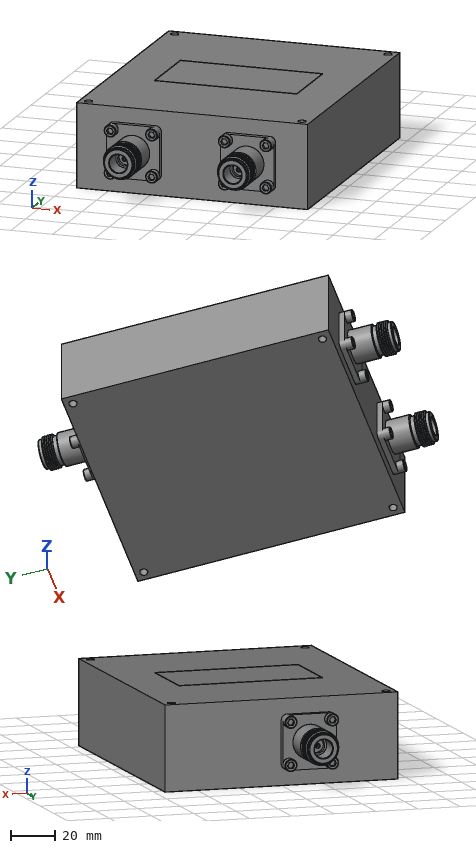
import cadquery as cq
import math

HOUSING_X = 110.5
HOUSING_Y = 127.0
HOUSING_Z = 40.0
LID_THICKNESS = 1.1

MOUNT_HOLE_DIA = 3.6
MOUNT_HOLE_SPACING_X = 102.0
MOUNT_HOLE_SPACING_Y = 118.6

LABEL_X = 68.0
LABEL_Y = 35.6
LABEL_THICKNESS = 0.17
LABEL_OFFSET_Y = 0.5

CONNECTOR_Z = HOUSING_Z / 2
FRONT_CONNECTOR_X = 27.3
BACK_CONNECTOR_X = -12.5

FLANGE_SIDE = 25.4
FLANGE_THICKNESS = 2.6

SCREW_SPACING = 19.8
SCREW_HEAD_DIA = 5.6
SCREW_HEAD_HEIGHT = 3.5
SCREW_HEAD_CHAMFER = 0.3
SCREW_SOCKET_FLATS = 2.8
SCREW_SOCKET_DEPTH = 1.5
FLANGE_CORNER_RADIUS = (FLANGE_SIDE - SCREW_SPACING) / 2

CONNECTOR_LENGTH = 23.0
BARREL_RADIUS = 15.875 / 2
BARREL_END = 13.6
NECK_ROOT_CHAMFER = 0.4
NECK_RADIUS = 6.95
TIP_CHAMFER = 0.4

THREAD_RADIUS = BARREL_RADIUS
THREAD_ROOT_RADIUS = 7.3
THREAD_PITCH = 25.4 / 24
THREAD_COUNT = 5
THREAD_START = 15.9
THREAD_CREST_WIDTH = 0.15

BORE_RADIUS = 4.3
BORE_DEPTH = 9.0
BORE_CHAMFER = 0.3
INNER_BORE_RADIUS = 3.4
INNER_BORE_DEPTH = 11.0
CONTACT_RADIUS = 1.15
CONTACT_HEIGHT = 2.5
CONTACT_HOLE_RADIUS = 0.6
CONTACT_HOLE_DEPTH = 2.0


def make_housing():
    box_height = HOUSING_Z - LID_THICKNESS
    box = cq.Workplane("XY").box(HOUSING_X, HOUSING_Y, box_height, centered=(True, True, False))
    lid = (
        cq.Workplane("XY", origin=(0, 0, box_height))
        .box(HOUSING_X, HOUSING_Y, LID_THICKNESS, centered=(True, True, False))
    )
    label = (
        cq.Workplane("XY", origin=(0, LABEL_OFFSET_Y, HOUSING_Z))
        .box(LABEL_X, LABEL_Y, LABEL_THICKNESS, centered=(True, True, False))
    )
    holes = (
        cq.Workplane("XY")
        .rect(MOUNT_HOLE_SPACING_X, MOUNT_HOLE_SPACING_Y, forConstruction=True)
        .vertices()
        .circle(MOUNT_HOLE_DIA / 2)
        .extrude(HOUSING_Z)
    )
    return box.union(lid, clean=False).union(label, clean=False).cut(holes, clean=False)


def make_flange():
    return (
        cq.Workplane("XY")
        .rect(FLANGE_SIDE, FLANGE_SIDE)
        .extrude(FLANGE_THICKNESS)
        .edges("|Z")
        .fillet(FLANGE_CORNER_RADIUS)
    )


def make_screw_heads():
    socket_corner_dia = SCREW_SOCKET_FLATS / math.cos(math.pi / 6)
    head = (
        cq.Workplane("XY")
        .circle(SCREW_HEAD_DIA / 2)
        .extrude(SCREW_HEAD_HEIGHT)
        .faces(">Z")
        .edges()
        .chamfer(SCREW_HEAD_CHAMFER)
        .faces(">Z")
        .workplane()
        .polygon(6, socket_corner_dia)
        .cutBlind(-SCREW_SOCKET_DEPTH)
    )
    heads = cq.Workplane("XY")
    for side_x in (-1, 1):
        for side_y in (-1, 1):
            x = side_x * SCREW_SPACING / 2
            y = side_y * SCREW_SPACING / 2
            heads = heads.add(head.translate((x, y, FLANGE_THICKNESS)))
    return heads.combine()


def make_shell():
    """Turned shell with thread rings, drawn as half a section (radius, height)."""
    outline = [
        (0, 0),
        (BARREL_RADIUS, 0),
        (BARREL_RADIUS, BARREL_END),
        (NECK_RADIUS + NECK_ROOT_CHAMFER, BARREL_END),
        (NECK_RADIUS, BARREL_END + NECK_ROOT_CHAMFER),
        (NECK_RADIUS, THREAD_START),
    ]
    for ring in range(THREAD_COUNT):
        ring_start = THREAD_START + ring * THREAD_PITCH
        middle = ring_start + THREAD_PITCH / 2
        outline.append((THREAD_ROOT_RADIUS, ring_start))
        outline.append((THREAD_RADIUS, middle - THREAD_CREST_WIDTH / 2))
        outline.append((THREAD_RADIUS, middle + THREAD_CREST_WIDTH / 2))
    thread_end = THREAD_START + THREAD_COUNT * THREAD_PITCH
    outline += [
        (THREAD_ROOT_RADIUS, thread_end),
        (NECK_RADIUS, thread_end),
        (NECK_RADIUS, CONNECTOR_LENGTH - TIP_CHAMFER),
        (NECK_RADIUS - TIP_CHAMFER, CONNECTOR_LENGTH),
        (0, CONNECTOR_LENGTH),
    ]
    return cq.Workplane("XZ").polyline(outline).close().revolve(360, (0, 0), (0, 1))


def make_socket_cavity():
    """Stepped bore around a hollow centre contact, as half a section (radius, height)."""
    floor = CONNECTOR_LENGTH - INNER_BORE_DEPTH
    step = CONNECTOR_LENGTH - BORE_DEPTH
    contact_top = floor + CONTACT_HEIGHT
    contact_hole_floor = contact_top - CONTACT_HOLE_DEPTH
    section = [
        (0, contact_hole_floor),
        (CONTACT_HOLE_RADIUS, contact_hole_floor),
        (CONTACT_HOLE_RADIUS, contact_top),
        (CONTACT_RADIUS, contact_top),
        (CONTACT_RADIUS, floor),
        (INNER_BORE_RADIUS, floor),
        (INNER_BORE_RADIUS, step),
        (BORE_RADIUS, step),
        (BORE_RADIUS, CONNECTOR_LENGTH - BORE_CHAMFER),
        (BORE_RADIUS + BORE_CHAMFER, CONNECTOR_LENGTH),
        (0, CONNECTOR_LENGTH),
    ]
    return cq.Workplane("XZ").polyline(section).close().revolve(360, (0, 0), (0, 1))


def make_connector():
    """Connector pointing along -Y, with its flange against the plane Y = 0."""
    upright = make_flange().union(make_shell()).cut(make_socket_cavity()).union(make_screw_heads())
    return upright.rotate((0, 0, 0), (1, 0, 0), 90)


connector = make_connector()
back_connector = connector.rotate((0, 0, 0), (0, 0, 1), 180)
wall_y = HOUSING_Y / 2

result = make_housing()
for connector_x in (-FRONT_CONNECTOR_X, FRONT_CONNECTOR_X):
    result = result.union(connector.translate((connector_x, -wall_y, CONNECTOR_Z)), clean=False)
result = result.union(back_connector.translate((BACK_CONNECTOR_X, wall_y, CONNECTOR_Z)), clean=False)